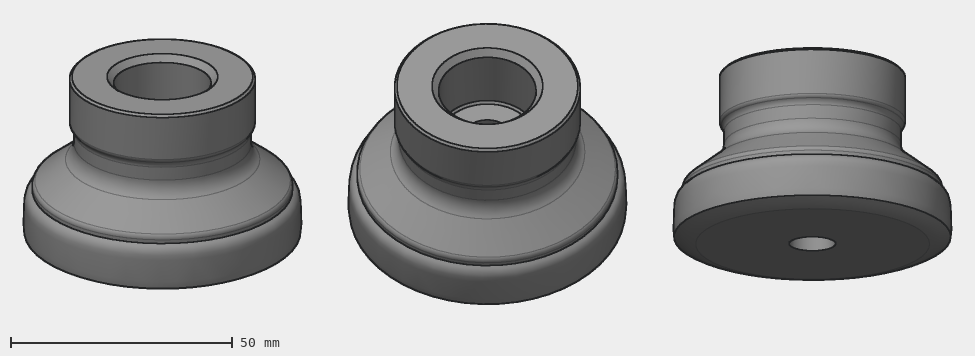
import cadquery as cq
import math

total_height = 39.9
pad_radius = 31.4
pad_height = 11.95

through_hole_diameter = 10.5
bore_diameter = 22.0
bore_depth = 15.5
bore_mouth_diameter = 25.0
bore_mouth_chamfer_depth = 1.5
bore_floor_chamfer = 0.55

head_radius = 42.0 / 2
head_chamfer = 0.55
head_lower_fillet = 1.25

neck_upper_fillet = 2.1
neck_top_z = 26.65
neck_bottom_z = 23.45
neck_lower_fillet = 5.0
neck_step = (head_lower_fillet + neck_upper_fillet) * (1 - math.cos(math.pi / 4))
neck_radius = head_radius - neck_step

flange_radius = 29.4
cone_slope = math.radians(38)
flange_edge_fillet = 1.5

pad_side_points = [
    (flange_radius, pad_height),
    (30.8, 10.55),
    (pad_radius - 0.1, 6.9),
    (pad_radius, 3.8),
    (31.2, 1.65),
]

underside_middle = (29.2, 0.6)
pad_foot_radius = 26.4


def arc_points(center_x, center_z, radius, middle_angle, end_angle):
    """Middle and end point of an arc, from its centre and angles in radians."""
    return [
        (center_x + radius * math.cos(angle), center_z + radius * math.sin(angle))
        for angle in (middle_angle, end_angle)
    ]


def make_housing():
    """Revolved head, neck and conical flange with a blind bore and a through hole."""
    bore_radius = bore_diameter / 2
    hole_radius = through_hole_diameter / 2
    floor_z = total_height - bore_depth
    turn = math.pi / 2 - cone_slope

    cone_top = arc_points(
        neck_radius + neck_lower_fillet, neck_bottom_z, neck_lower_fillet,
        math.pi + turn / 2, math.pi + turn,
    )
    edge_center_x = flange_radius - flange_edge_fillet
    cone_bottom_x = edge_center_x + flange_edge_fillet * math.cos(turn)
    cone_bottom_z = cone_top[1][1] - (cone_bottom_x - cone_top[1][0]) * math.tan(cone_slope)
    edge_center_z = cone_bottom_z - flange_edge_fillet * math.sin(turn)
    rim_top = arc_points(edge_center_x, edge_center_z, flange_edge_fillet, turn / 2, 0)
    eighth = math.pi / 4
    neck_top = arc_points(
        neck_radius + neck_upper_fillet, neck_top_z, neck_upper_fillet,
        math.pi - eighth / 2, math.pi,
    )
    blend_height = (neck_upper_fillet + head_lower_fillet) * math.sin(eighth)
    head_bottom_z = neck_top_z + blend_height
    head_bottom = arc_points(
        head_radius - head_lower_fillet, head_bottom_z, head_lower_fillet,
        -eighth / 2, -eighth,
    )

    profile = (
        cq.Workplane("XZ")
        .moveTo(hole_radius, pad_height)
        .lineTo(hole_radius, floor_z)
        .lineTo(bore_radius - bore_floor_chamfer, floor_z)
        .lineTo(bore_radius, floor_z + bore_floor_chamfer)
        .lineTo(bore_radius, total_height - bore_mouth_chamfer_depth)
        .lineTo(bore_mouth_diameter / 2, total_height)
        .lineTo(head_radius - head_chamfer, total_height)
        .lineTo(head_radius, total_height - head_chamfer)
        .lineTo(head_radius, head_bottom_z)
        .threePointArc(*head_bottom)
        .threePointArc(*neck_top)
        .lineTo(neck_radius, neck_bottom_z)
        .threePointArc(*cone_top)
        .lineTo(cone_bottom_x, cone_bottom_z)
        .threePointArc(*rim_top)
        .lineTo(flange_radius, pad_height)
        .close()
    )
    return profile.revolve(360, (0, 0, 0), (0, 1, 0))


def make_pad():
    """Revolved pad with a bulging side, pierced by the through hole."""
    hole_radius = through_hole_diameter / 2
    profile = (
        cq.Workplane("XZ")
        .moveTo(hole_radius, 0)
        .lineTo(hole_radius, pad_height)
        .lineTo(*pad_side_points[0])
        .spline(pad_side_points[1:], includeCurrent=True)
        .threePointArc(underside_middle, (pad_foot_radius, 0))
        .close()
    )
    return profile.revolve(360, (0, 0, 0), (0, 1, 0))


housing = make_housing()
pad = make_pad()
result = cq.Compound.makeCompound([housing.val(), pad.val()])